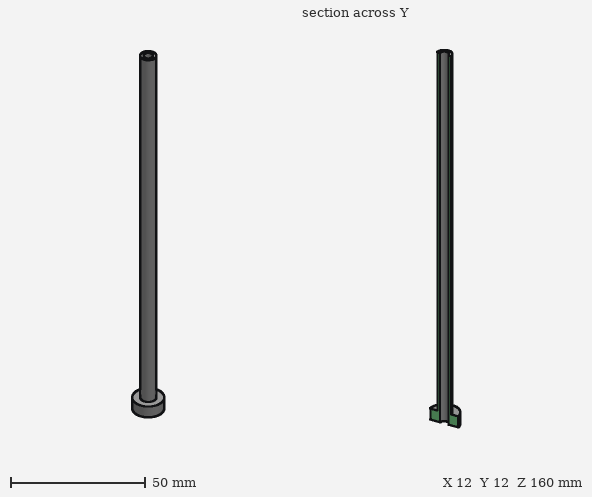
import cadquery as cq

total_length = 160.0
head_height = 5.0
head_diameter = 12.0
tube_diameter = 6.0
bore_diameter = 3.5

head = cq.Workplane("XY").circle(head_diameter / 2).extrude(head_height)
tube = cq.Workplane("XY").circle(tube_diameter / 2).extrude(total_length)

bore = cq.Workplane("XY").circle(bore_diameter / 2).extrude(total_length)

result = head.union(tube).cut(bore)